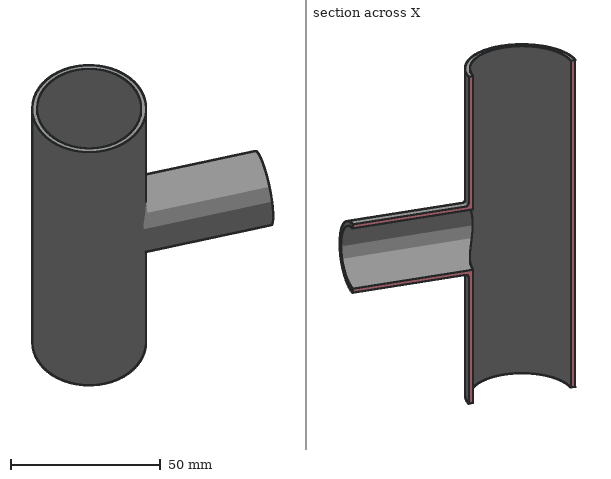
import cadquery as cq

run_diameter = 38.1
branch_diameter = 25.4
wall = 1.65
run_length = 120.6
branch_reach = run_length / 2
weld_radius = 1.0


def run_cylinder(diameter):
    """Full-length cylinder along Z, centred on the origin."""
    return cq.Workplane("XY").circle(diameter / 2).extrude(run_length / 2, both=True)


def branch_cylinder(diameter):
    """Cylinder along +Y, from the run axis to the branch end."""
    return cq.Workplane("XZ").circle(diameter / 2).extrude(-branch_reach)


def outer_body():
    """Both tubes as solid bars, blended along the curve where they meet."""
    body = run_cylinder(run_diameter).union(branch_cylinder(branch_diameter))
    half_length = run_length / 2 - weld_radius
    junction_zone = cq.selectors.BoxSelector(
        (-run_diameter, 0, -half_length),
        (run_diameter, run_diameter / 2 + weld_radius, half_length),
        boundingbox=True,
    )
    return body.edges(junction_zone).fillet(weld_radius)


run_bore = run_cylinder(run_diameter - 2 * wall)
branch_bore = branch_cylinder(branch_diameter - 2 * wall)

result = outer_body().cut(run_bore).cut(branch_bore)